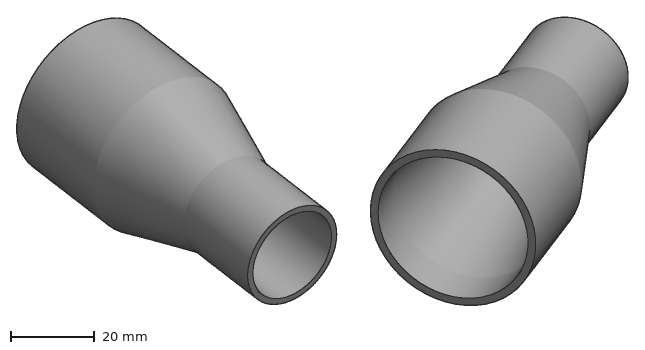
import cadquery as cq

total_length = 80.0
sleeve_length = 30.0
socket_depth = 10.0
spigot_length = 25.0
sleeve_outer_diameter = 42.4
sleeve_inner_diameter = 38.4
spigot_outer_diameter = 26.9
spigot_inner_diameter = 23.7

cone_end = total_length - spigot_length


def reducer_body(wide_diameter, narrow_diameter, cone_start):
    """Solid of revolution about X: cylinder, cone, smaller cylinder."""
    wide_radius = wide_diameter / 2
    narrow_radius = narrow_diameter / 2
    return (
        cq.Workplane("XY")
        .moveTo(0, 0)
        .lineTo(0, wide_radius)
        .lineTo(cone_start, wide_radius)
        .lineTo(cone_end, narrow_radius)
        .lineTo(total_length, narrow_radius)
        .lineTo(total_length, 0)
        .close()
        .revolve(360, (0, 0, 0), (1, 0, 0))
    )


outer_body = reducer_body(sleeve_outer_diameter, spigot_outer_diameter, sleeve_length)
through_bore = reducer_body(sleeve_inner_diameter, spigot_inner_diameter, socket_depth)

result = outer_body.cut(through_bore)